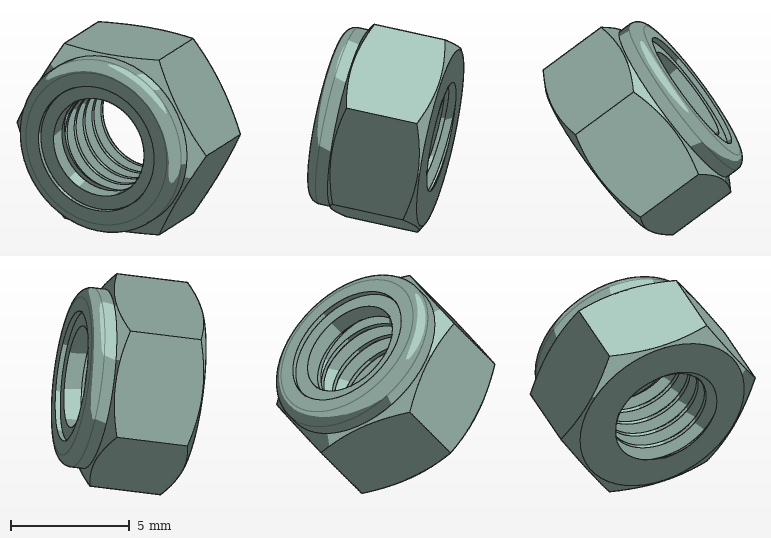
import math

import cadquery as cq


hex_sides = 6
across_flats = 7.8
across_corners = across_flats / math.cos(math.pi / hex_sides)
body_height = 3.88
chamfer_angle = 30.0
chamfer_face_radius = 3.8

total_height = 4.85
collar_radius = 3.8
collar_fillet = 0.45

pocket_radius = 2.75
pocket_depth = 1.24
insert_recess = 0.22
insert_thickness = 0.75
insert_bore_radius = 2.15

thread_pitch = 0.8
thread_minor_radius = 2.14
thread_crest_width = 0.18
thread_root_width = thread_pitch / 8
thread_half_angle = 30.0
thread_start_angle = 140.0
thread_mouth_width = thread_pitch - thread_crest_width
thread_depth = (thread_mouth_width - thread_root_width) / 2 / math.tan(math.radians(thread_half_angle))
thread_overlap = 0.1


def make_hex_body():
    """Hexagonal prism with a corner pointing along +X, both ends chamfered by cones."""
    prism = cq.Workplane("XZ").polygon(hex_sides, across_corners).extrude(body_height)
    corner_radius = across_corners / 2
    chamfer_depth = (corner_radius - chamfer_face_radius) * math.tan(math.radians(chamfer_angle))
    envelope = (
        cq.Workplane("XY")
        .moveTo(0, 0)
        .lineTo(chamfer_face_radius, 0)
        .lineTo(corner_radius, -chamfer_depth)
        .lineTo(corner_radius, chamfer_depth - body_height)
        .lineTo(chamfer_face_radius, -body_height)
        .lineTo(0, -body_height)
        .close()
        .revolve(360, (0, 0, 0), (0, 1, 0))
    )
    return prism.intersect(envelope)


def cylinder(radius, start_y, length):
    """Cylinder on the nut axis running from start_y towards -Y."""
    return cq.Workplane("XZ", origin=(0, start_y, 0)).circle(radius).extrude(length)


def make_collar():
    """Round collar with its free rim rounded over."""
    collar = cylinder(collar_radius, -body_height, total_height - body_height)
    return collar.faces("<Y").edges().fillet(collar_fillet)


def make_thread_groove():
    """Helical groove, longer than the threaded bore at both ends."""
    helix_length = body_height + 2 * thread_pitch
    helix = cq.Wire.makeHelix(thread_pitch, helix_length, thread_minor_radius)
    flank_slope = math.tan(math.radians(thread_half_angle))
    inner_radius = thread_minor_radius - thread_overlap
    root_radius = thread_minor_radius + thread_depth
    inner_half_width = thread_mouth_width / 2 + thread_overlap * flank_slope
    root_half_width = thread_root_width / 2
    groove = (
        cq.Workplane("XZ")
        .moveTo(inner_radius, -inner_half_width)
        .lineTo(root_radius, -root_half_width)
        .lineTo(root_radius, root_half_width)
        .lineTo(inner_radius, inner_half_width)
        .close()
        .sweep(cq.Workplane(obj=helix), isFrenet=True)
    )
    lay_along_y = groove.rotate((0, 0, 0), (1, 0, 0), 90)
    turned = lay_along_y.rotate((0, 0, 0), (0, 1, 0), thread_start_angle)
    return turned.translate((0, thread_pitch, 0))


def make_insert():
    """Plain nylon ring, its front face recessed below the collar rim."""
    front_y = insert_recess - total_height
    ring = cylinder(pocket_radius, front_y + insert_thickness, insert_thickness)
    return ring.cut(cylinder(insert_bore_radius, front_y + insert_thickness, insert_thickness))


shell = make_hex_body().union(make_collar())
shell = shell.cut(cylinder(pocket_radius, pocket_depth - total_height, pocket_depth))
shell = shell.cut(cylinder(thread_minor_radius, 0, total_height))
shell = shell.cut(make_thread_groove())

result = shell.union(make_insert())